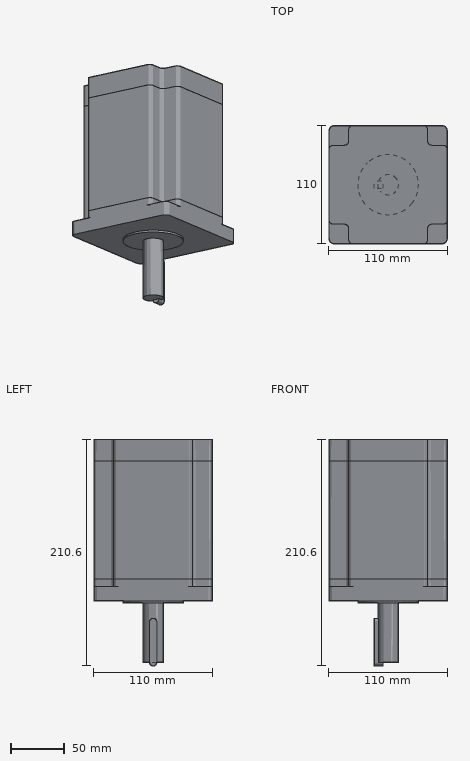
import cadquery as cq


frame_width = 110.0
corner_notch = 18.3
notch_fillet = 4.0

total_height = 210.6
flange_thickness = 13.0
front_cap_height = 20.0
rear_cap_height = 20.0
flange_corner_radius = 5.0

pilot_diameter = 56.0
pilot_height = 2.0
shaft_diameter = 19.0
shaft_length = 57.3

key_width = 6.7
key_length = 44.5
key_thickness = 8.5
key_outer_x = -13.0

key_end_z = -(shaft_length + key_width / 2)
housing_top_z = total_height + key_end_z
rear_joint_z = housing_top_z - rear_cap_height


def notched_prism(bottom_z, top_z):
    """Square prism with a rounded square notch along each vertical corner."""
    height = top_z - bottom_z
    arm_width = frame_width - 2 * corner_notch
    base = cq.Workplane("XY").workplane(offset=bottom_z)
    arm_along_x = base.rect(frame_width, arm_width).extrude(height)
    arm_along_y = base.rect(arm_width, frame_width).extrude(height)
    return arm_along_x.union(arm_along_y).edges("|Z").fillet(notch_fillet)


def make_front_cap():
    """Flange with its notched neck, pilot boss, output shaft and key."""
    flange = (
        cq.Workplane("XY")
        .rect(frame_width, frame_width)
        .extrude(flange_thickness)
        .edges("|Z")
        .fillet(flange_corner_radius)
    )
    neck = notched_prism(flange_thickness, front_cap_height)
    pilot = cq.Workplane("XY").circle(pilot_diameter / 2).extrude(-pilot_height)
    shaft = cq.Workplane("XY").circle(shaft_diameter / 2).extrude(-shaft_length)
    key = (
        cq.Workplane("YZ", origin=(key_outer_x, 0, key_end_z + key_length / 2))
        .slot2D(key_length, key_width, 90)
        .extrude(key_thickness)
    )
    return flange.union(neck).union(pilot).union(shaft).union(key)


def make_stator():
    """Notched lamination stack between the two caps."""
    return notched_prism(front_cap_height, rear_joint_z)


def make_rear_cap():
    """Notched cap that closes the top of the motor."""
    return notched_prism(rear_joint_z, housing_top_z)


front_cap = make_front_cap()
stator = make_stator()
rear_cap = make_rear_cap()

result = cq.Compound.makeCompound([front_cap.val(), stator.val(), rear_cap.val()])